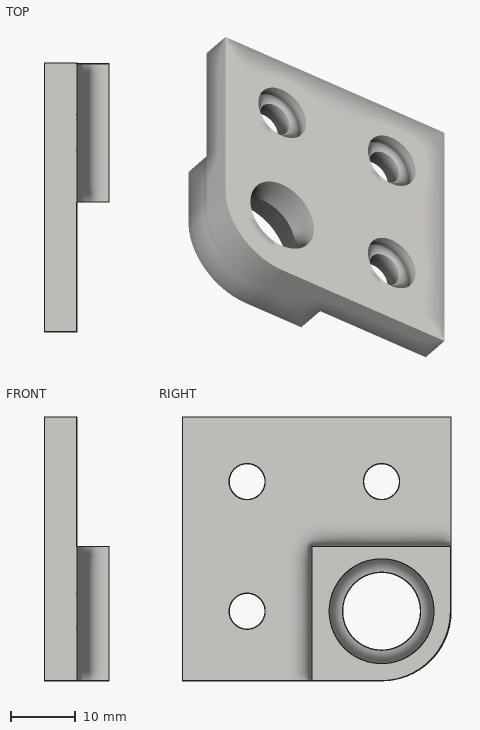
import cadquery as cq

width = 41.5
height = 40.75
corner_radius = 10.75
thickness = 10.0 / 2

pad_thickness = thickness
pad_height = 20.75
pad_inset = 0.12
pad_side_y = width - 2 * corner_radius

bore_diameter = 12.0
pad_bore_diameter = 16.2
bore_y = width - corner_radius
bore_z = corner_radius

hole_diameter = 5.5
counterbore_diameter = 9.0
counterbore_depth = 2.0
hole_margin = 10.0
upper_z = height - hole_margin
hole_centres = [
    (hole_margin, bore_z),
    (hole_margin, upper_z),
    (bore_y, upper_z),
]


def corner_block(x_start, depth, y_min, y_max, z_max):
    """Block resting on Z = 0 with its lower +Y corner rounded."""
    block = cq.Workplane("XY").box(depth, y_max - y_min, z_max, centered=False)
    block = block.edges(">Y and |X").edges("<Z").fillet(corner_radius)
    return block.translate((x_start, y_min, 0))


def cylinder_x(diameter, x_start, depth, y, z):
    """Cylinder along +X, used as a cutting tool."""
    plane = cq.Workplane("YZ", origin=(x_start, y, z))
    return plane.circle(diameter / 2).extrude(depth)


plate = corner_block(0, thickness, 0, width, height)
pad = corner_block(thickness, pad_thickness, pad_side_y, width - pad_inset, pad_height)
result = plate.union(pad)

result = result.cut(cylinder_x(bore_diameter, 0, thickness, bore_y, bore_z))
result = result.cut(cylinder_x(pad_bore_diameter, thickness, pad_thickness, bore_y, bore_z))

for y, z in hole_centres:
    result = result.cut(cylinder_x(hole_diameter, 0, thickness, y, z))
    result = result.cut(cylinder_x(counterbore_diameter, 0, counterbore_depth, y, z))